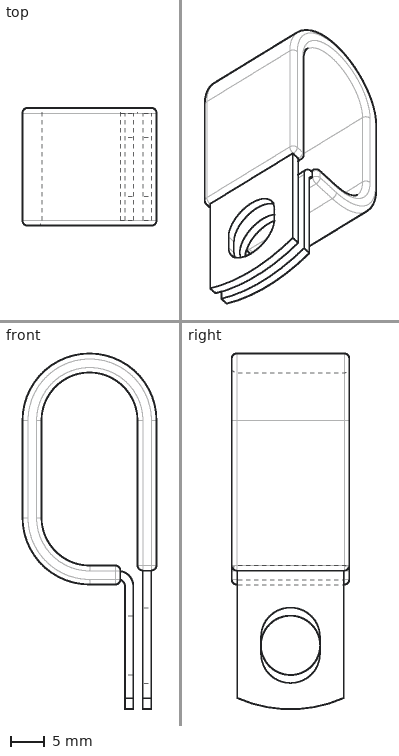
import cadquery as cq
import math

total_height = 52.7
loop_width = 19.9
cushion_length = 17.45
outer_radius = loop_width / 2
upper_centre_z = total_height - outer_radius
lower_centre_z = 28.4

strip_thickness = 1.25
strip_width = 15.8
cushion_cover = 0.8
cushion_thickness = strip_thickness + 2 * cushion_cover
edge_round = cushion_cover
leg_end_z = 20.55
foot_end_x = 4.6

tab_gap = 1.35
bend_inner_radius = 1.05
hole_diameter = 8.75
slot_length = 11.2
hole_z = 9.5
tip_rise = 1.7
half_strip = strip_width / 2

centre_radius = outer_radius - cushion_thickness / 2
foot_z = lower_centre_z - centre_radius
front_tab_x = centre_radius - strip_thickness - tab_gap
bend_radius = bend_inner_radius + strip_thickness / 2


def loop_path(leg_bottom_z, foot_x):
    """Centreline up the straight leg, over the top and round to the foot."""
    diagonal = centre_radius * math.sqrt(0.5)
    return (
        cq.Workplane("XZ")
        .moveTo(centre_radius, leg_bottom_z)
        .lineTo(centre_radius, upper_centre_z)
        .threePointArc((0, upper_centre_z + centre_radius), (-centre_radius, upper_centre_z))
        .lineTo(-centre_radius, lower_centre_z)
        .threePointArc((-diagonal, lower_centre_z - diagonal), (0, foot_z))
        .lineTo(foot_x, foot_z)
    )


def band(path, start_z, thickness, width):
    """Sweep a rectangular section along a centreline that starts on the leg."""
    section = cq.Workplane("XY", origin=(centre_radius, 0, start_z)).rect(thickness, width)
    return section.sweep(path)


def make_cushion():
    path = loop_path(leg_end_z, foot_end_x)
    cushion = band(path, leg_end_z, cushion_thickness, cushion_length)
    side_edges = cushion.faces("<Y or >Y").edges()
    leg_end = cq.selectors.NearestToPointSelector((centre_radius, 0, leg_end_z))
    foot_end = cq.selectors.NearestToPointSelector((foot_end_x, 0, foot_z))
    end_edges = cushion.faces(leg_end + foot_end).edges()
    return side_edges.add(end_edges).fillet(edge_round)


def make_strip():
    bend_start_x = front_tab_x - bend_radius
    bend_end_z = foot_z - bend_radius
    bend_offset = bend_radius * math.sqrt(0.5)
    path = (
        loop_path(0, bend_start_x)
        .threePointArc(
            (bend_start_x + bend_offset, bend_end_z + bend_offset),
            (front_tab_x, bend_end_z),
        )
        .lineTo(front_tab_x, 0)
    )
    return band(path, 0, strip_thickness, strip_width)


def tab_envelope():
    """Side outline that trims both tab tips to a shallow arc."""
    return (
        cq.Workplane("YZ")
        .moveTo(-half_strip, tip_rise)
        .threePointArc((0, 0), (half_strip, tip_rise))
        .lineTo(half_strip, total_height)
        .lineTo(-half_strip, total_height)
        .close()
        .extrude(outer_radius, both=True)
    )


def bolt_hole():
    """Round hole through the front tab, stopping in the gap between the tabs."""
    return (
        cq.Workplane("YZ")
        .center(0, hole_z)
        .circle(hole_diameter / 2)
        .extrude(centre_radius - (strip_thickness + tab_gap) / 2)
    )


def adjustment_slot():
    """Vertical slot through the rear tab, as wide as the round hole and centred on it."""
    return (
        cq.Workplane("YZ", origin=(centre_radius, 0, hole_z))
        .slot2D(slot_length, hole_diameter, 90)
        .extrude(strip_thickness, both=True)
    )


strip = make_strip().intersect(tab_envelope()).cut(bolt_hole()).cut(adjustment_slot())
result = make_cushion().union(strip)